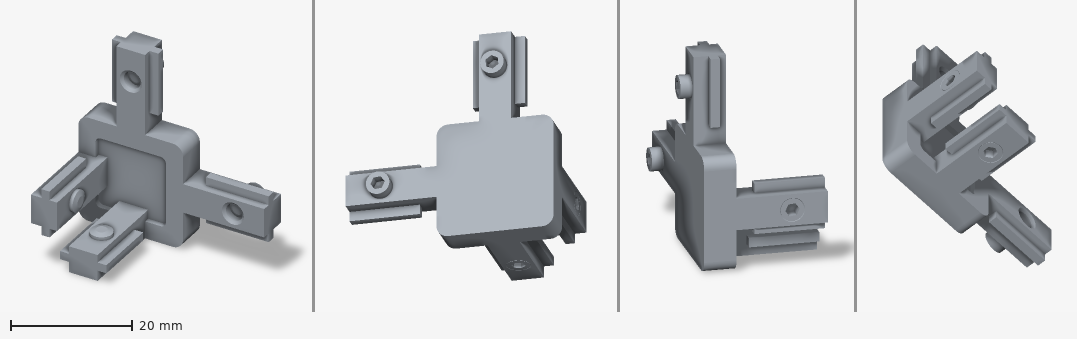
import cadquery as cq

overall_size = 35.5
plate_size = 20.0
plate_thickness = 5.5
plate_corner_radius = 2.0

pocket_size = 13.42
pocket_depth = 1.0
pocket_corner_radius = 1.0

arm_width = 5.5
standing_arm_thickness = 5.0
rib_span = 8.88
rib_thickness = 1.55
rib_inset = 1.45
rib_length = 12.0

screw_diameter = 4.0
screw_length = 5.95
screw_tip_diameter = 2.0
screw_tip_height = 0.35
screw_setback = 6.0
screw_protrusion = 2.0
hex_across_flats = 2.1
hex_turn = -6.0
hex_depth = 2.0
hex_corner_factor = 2 / 3 ** 0.5

thread_hole_diameter = 3.2
countersink_diameter = 4.2

plate_centre = plate_size / 2
arm_reach = overall_size - plate_size
standing_arm_length = arm_reach + pocket_depth
countersink_depth = (countersink_diameter - thread_hole_diameter) / 2

flat_screw_end = plate_thickness + screw_protrusion
ARMS = [
    (cq.Plane((plate_centre, 0, plate_size), (1, 0, 0), (0, 0, 1)),
     arm_reach, plate_thickness, flat_screw_end),
    (cq.Plane((plate_size, 0, plate_centre), (0, 0, -1), (1, 0, 0)),
     arm_reach, plate_thickness, flat_screw_end),
    (cq.Plane((standing_arm_thickness, pocket_depth, plate_centre), (0, 0, 1), (0, -1, 0)),
     standing_arm_length, standing_arm_thickness, standing_arm_thickness),
    (cq.Plane((plate_centre, pocket_depth, standing_arm_thickness), (-1, 0, 0), (0, -1, 0)),
     standing_arm_length, standing_arm_thickness, standing_arm_thickness),
]


def make_plate():
    """Square plate with rounded corners and a shallow pocket in its front (y = 0)."""
    plate = (
        cq.Workplane("XY")
        .box(plate_size, plate_thickness, plate_size, centered=False)
        .edges("|Y").fillet(plate_corner_radius)
    )
    pocket = (
        cq.Workplane("XY")
        .box(pocket_size, pocket_depth, pocket_size, centered=(True, False, True))
        .edges("|Y").fillet(pocket_corner_radius)
        .translate((plate_centre, 0, plate_centre))
    )
    return plate.cut(pocket)


def make_arm(plane, length, thickness):
    """Rectangular bar with a rib along each side, ending at the free end of the bar."""
    bar = cq.Workplane(plane).center(0, thickness / 2).rect(arm_width, thickness).extrude(length)
    ribs = (
        cq.Workplane(plane)
        .workplane(offset=length - rib_length)
        .center(0, rib_inset + rib_thickness / 2)
        .rect(rib_span, rib_thickness)
        .extrude(rib_length)
    )
    return bar.union(ribs)


def screw_axis_plane(plane, length, depth, direction):
    """Plane across an arm's screw axis at a local depth; direction 1 faces outwards, -1 inwards."""
    origin = plane.toWorldCoords((0, depth, length - screw_setback))
    return cq.Plane(origin, plane.zDir, plane.yDir * direction)


def make_thread_hole(plane, length, thickness):
    """Through hole with a 45 degree countersink at both ends."""
    inner = screw_axis_plane(plane, length, 0, 1)
    outer = screw_axis_plane(plane, length, thickness, -1)
    hole = cq.Workplane(inner).circle(thread_hole_diameter / 2).extrude(thickness)
    for face in (inner, outer):
        countersink = (
            cq.Workplane(face)
            .circle(countersink_diameter / 2)
            .workplane(offset=countersink_depth)
            .circle(thread_hole_diameter / 2)
            .loft()
        )
        hole = hole.union(countersink)
    return hole


def make_screw_blank(plane, length, socket_end):
    """Outer shape of a set screw: a cylinder with a truncated cone at the inner end."""
    shank_length = screw_length - screw_tip_height
    start = screw_axis_plane(plane, length, socket_end, -1)
    shank = cq.Workplane(start).circle(screw_diameter / 2).extrude(shank_length)
    tip = (
        cq.Workplane(start)
        .workplane(offset=shank_length)
        .circle(screw_diameter / 2)
        .workplane(offset=screw_tip_height)
        .circle(screw_tip_diameter / 2)
        .loft()
    )
    return shank.union(tip)


def make_screw(plane, length, socket_end):
    """Set screw with a hexagon socket in its outer end."""
    start = screw_axis_plane(plane, length, socket_end, -1)
    socket = (
        cq.Workplane(start.rotated((0, 0, hex_turn)))
        .polygon(6, hex_across_flats * hex_corner_factor)
        .extrude(hex_depth)
    )
    return make_screw_blank(plane, length, socket_end).cut(socket)


def make_connector():
    """Plate with its four arms; each arm has a screw hole shaped to its screw."""
    connector = make_plate()
    for plane, length, thickness, _ in ARMS:
        connector = connector.union(make_arm(plane, length, thickness))
    for plane, length, thickness, socket_end in ARMS:
        connector = connector.cut(make_thread_hole(plane, length, thickness))
        connector = connector.cut(make_screw_blank(plane, length, socket_end))
    return connector


connector = make_connector()
screws = [make_screw(plane, length, socket_end) for plane, length, _, socket_end in ARMS]

result = cq.Compound.makeCompound([connector.val(), *[screw.val() for screw in screws]])